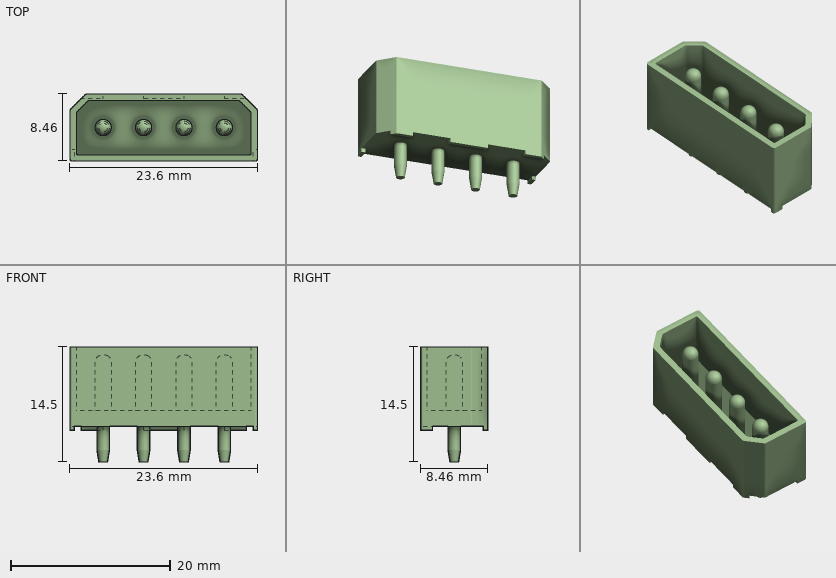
import cadquery as cq

length = 23.6
width = 8.46
body_height = 10.0
corner_cut = 2.0
wall = 0.8
floor_thickness = 2.0
outer_round = 0.3
inner_rear_round = 0.5
inner_front_round = 0.2

foot_height = 0.5
front_foot_length = 0.55
front_foot_width = 1.5
rear_foot_inset = 1.3
rear_foot_width = 0.6

pin_count = 4
pin_pitch = 5.08
contact_diameter = 2.05
contact_recess = 1.0
contact_tip_flat_diameter = 0.2
tail_diameter = 1.6
tail_tip_diameter = 1.1
tail_length = 4.5
tail_taper_length = 1.5


def shroud_profile(inset):
    """Shroud outline moved inward by a uniform inset, with sharp corners."""
    half_length = length / 2 - inset
    half_width = width / 2 - inset
    cut = corner_cut - inset * (2 - 2**0.5)
    return cq.Workplane("XY").polyline([
        (-half_length, -half_width),
        (half_length, -half_width),
        (half_length, half_width - cut),
        (half_length - cut, half_width),
        (-half_length + cut, half_width),
        (-half_length, half_width - cut),
    ]).close()


def make_outer_block():
    """Solid block of the shroud, reaching down to the underside of the feet."""
    block = shroud_profile(0).extrude(body_height + foot_height)
    return block.edges("|Z").fillet(outer_round).translate((0, 0, -foot_height))


def make_cavity():
    """Volume removed to open the shroud from the top."""
    cavity = shroud_profile(wall).extrude(body_height - floor_thickness)
    cavity = cavity.edges("|Z and (not <Y)").fillet(inner_rear_round)
    cavity = cavity.edges("|Z and <Y").fillet(inner_front_round)
    return cavity.translate((0, 0, floor_thickness))


def foot_zone(x_start, x_end, y_start, y_end):
    """Rectangular block just below the body, spanning the given X and Y ranges."""
    box = cq.Workplane("XY").box(x_end - x_start, y_end - y_start, foot_height, centered=False)
    return box.translate((x_start, y_start, -foot_height))


def make_foot_zones():
    """Blocks where material is kept as feet: two at the front corners, three along the rear."""
    half_length = length / 2
    half_width = width / 2
    front_inner_x = half_length - front_foot_length
    front_back_y = -half_width + front_foot_width
    rear_outer_x = half_length - rear_foot_inset
    rear_front_y = half_width - rear_foot_width
    inner_pin_x = pin_pitch / 2
    outer_pin_x = inner_pin_x + pin_pitch

    zones = foot_zone(-half_length, -front_inner_x, -half_width, front_back_y)
    zones = zones.union(foot_zone(front_inner_x, half_length, -half_width, front_back_y))
    zones = zones.union(foot_zone(-rear_outer_x, -outer_pin_x, rear_front_y, half_width))
    zones = zones.union(foot_zone(-inner_pin_x, inner_pin_x, rear_front_y, half_width))
    return zones.union(foot_zone(outer_pin_x, rear_outer_x, rear_front_y, half_width))


def make_shroud():
    """Hollow body standing on its feet, underside of the body at Z = 0."""
    block = make_outer_block()
    body = block.intersect(cq.Workplane("XY").rect(length, width).extrude(body_height))
    feet = block.intersect(make_foot_zones())
    return body.cut(make_cavity()).union(feet)


def make_pin():
    """Domed contact above the floor and a tapered solder tail below, stepping in mid-floor."""
    contact_radius = contact_diameter / 2
    tip_flat_radius = contact_tip_flat_diameter / 2
    dome_radius = contact_radius - tip_flat_radius
    contact_top = body_height - contact_recess
    dome_base = contact_top - dome_radius
    shoulder = floor_thickness / 2
    diagonal = dome_radius / 2**0.5
    return (
        cq.Workplane("XZ")
        .moveTo(0, -tail_length)
        .lineTo(tail_tip_diameter / 2, -tail_length)
        .lineTo(tail_diameter / 2, -tail_length + tail_taper_length)
        .lineTo(tail_diameter / 2, shoulder)
        .lineTo(contact_radius, shoulder)
        .lineTo(contact_radius, dome_base)
        .threePointArc((tip_flat_radius + diagonal, dome_base + diagonal), (tip_flat_radius, contact_top))
        .lineTo(0, contact_top)
        .close()
        .revolve(360, (0, 0, 0), (0, 1, 0))
    )


result = make_shroud()
pin = make_pin()
for index in range(pin_count):
    pin_x = (index - (pin_count - 1) / 2) * pin_pitch
    result = result.union(pin.translate((pin_x, 0, 0)))